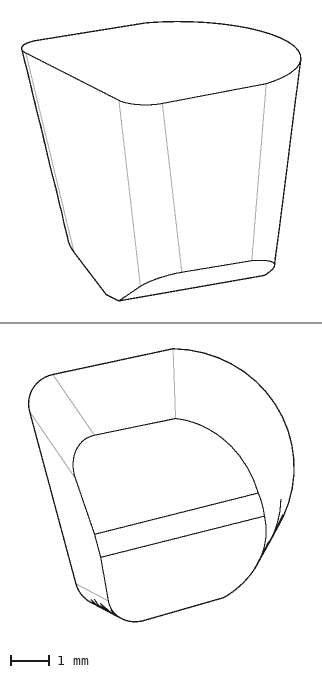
import cadquery as cq
import math

height = 6.17
corner_radius = 0.8
side_lean = math.radians(2.1)

top_half_width = 3.175
top_back = 3.175
top_front = -3.16
top_shoulder = 0.845

bottom_half_width = 2.39
bottom_back = 2.425
bottom_front = -1.96
bottom_shoulder = 0.735

ridge_half_width = 0.32
slope_angle = math.radians(30)


def outline(plane, half_width, back, front, shoulder):
    """Add a D-shaped outline: flat front, rounded front corners, leaning sides, arc back."""
    corner_x = half_width - corner_radius
    corner_y = front + corner_radius
    tangent_x = corner_x + corner_radius * math.cos(side_lean)
    tangent_y = corner_y + corner_radius * math.sin(side_lean)
    shoulder_x = tangent_x - (shoulder - tangent_y) * math.tan(side_lean)
    mid_angle = (side_lean - math.pi / 2) / 2
    mid_x = corner_x + corner_radius * math.cos(mid_angle)
    mid_y = corner_y + corner_radius * math.sin(mid_angle)
    return (
        plane.moveTo(-corner_x, front)
        .lineTo(corner_x, front)
        .threePointArc((mid_x, mid_y), (tangent_x, tangent_y))
        .lineTo(shoulder_x, shoulder)
        .threePointArc((0, back), (-shoulder_x, shoulder))
        .lineTo(-tangent_x, tangent_y)
        .threePointArc((-mid_x, mid_y), (-corner_x, front))
        .close()
    )


def tapered_body():
    """Straight-sided loft from the small bottom outline to the large top outline."""
    bottom = outline(cq.Workplane("XY"), bottom_half_width, bottom_back, bottom_front, bottom_shoulder)
    top_plane = bottom.workplane(offset=height)
    return outline(top_plane, top_half_width, top_back, top_front, top_shoulder).loft(ruled=True)


def slope_cutter(side):
    """Wedge below one sloping face; side is -1 for left and 1 for right."""
    reach = top_half_width
    rise = (reach - ridge_half_width) * math.tan(slope_angle)
    return (
        cq.Workplane("XZ")
        .moveTo(side * ridge_half_width, 0)
        .lineTo(side * reach, 0)
        .lineTo(side * reach, rise)
        .close()
        .extrude(top_back, both=True)
    )


result = tapered_body()
for side in (-1, 1):
    result = result.cut(slope_cutter(side))